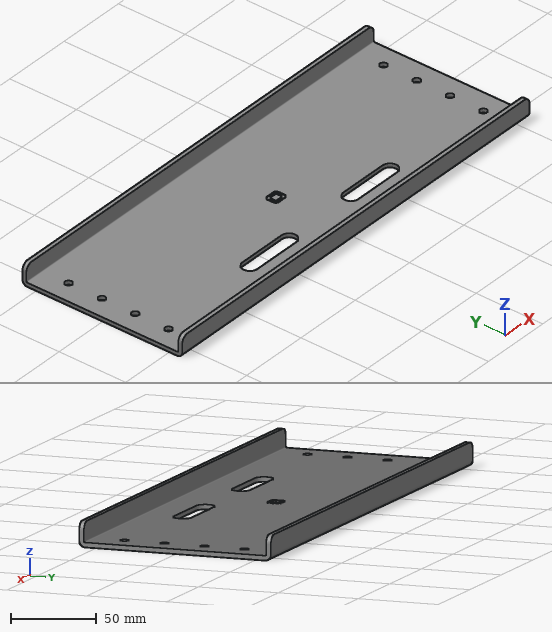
import cadquery as cq

length = 320.0
width = 120.0
height = 15.0
thickness = 3.0

inner_bend_radius = 0.8
outer_bend_radius = inner_bend_radius + thickness
flange_corner_radius = 5.0

hole_diameter = 5.1
hole_pitch = 25.0
holes_per_row = 4
hole_row_x = 145.0

slot_length = 47.0
slot_width = 11.0
slot_x = 46.5
slot_y = -33.0

groove_length = 10.0
groove_width = 8.5
groove_corner_radius = 2.0
island_length = 6.0
island_width = 5.0
island_corner_radius = 1.0
groove_depth = 0.5


def make_channel():
    """Bent U-channel with its open side up and its bottom at Z = 0."""
    outside = (
        cq.Workplane("XY")
        .box(length, width, height, centered=(True, True, False))
        .edges("|X and <Z")
        .fillet(outer_bend_radius)
    )
    inside = (
        cq.Workplane("XY", origin=(0, 0, thickness))
        .box(length, width - 2 * thickness, height, centered=(True, True, False))
        .edges("|X and <Z")
        .fillet(inner_bend_radius)
    )
    return outside.cut(inside)


def round_flange_corners(body):
    """Round the upper end corners of both flanges."""
    return body.edges("|Y and >Z").fillet(flange_corner_radius)


def make_end_holes():
    """Cutters for the row of holes near each end."""
    return (
        cq.Workplane("XY")
        .rarray(2 * hole_row_x, hole_pitch, 2, holes_per_row)
        .circle(hole_diameter / 2)
        .extrude(thickness)
    )


def make_slots():
    """Cutters for the two obround slots."""
    return (
        cq.Workplane("XY")
        .pushPoints([(-slot_x, slot_y), (slot_x, slot_y)])
        .slot2D(slot_length, slot_width)
        .extrude(thickness)
    )


def make_groove_block(block_length, block_width, corner_radius):
    """Rounded rectangular block as deep as the groove, flush with the floor."""
    return (
        cq.Workplane("XY", origin=(0, 0, thickness - groove_depth))
        .rect(block_length, block_width)
        .extrude(groove_depth)
        .edges("|Z")
        .fillet(corner_radius)
    )


def make_ring_groove():
    """Cutter for the ring groove that leaves an island level with the floor."""
    outer = make_groove_block(groove_length, groove_width, groove_corner_radius)
    island = make_groove_block(island_length, island_width, island_corner_radius)
    return outer.cut(island)


channel = round_flange_corners(make_channel())
result = channel.cut(make_end_holes()).cut(make_slots()).cut(make_ring_groove())